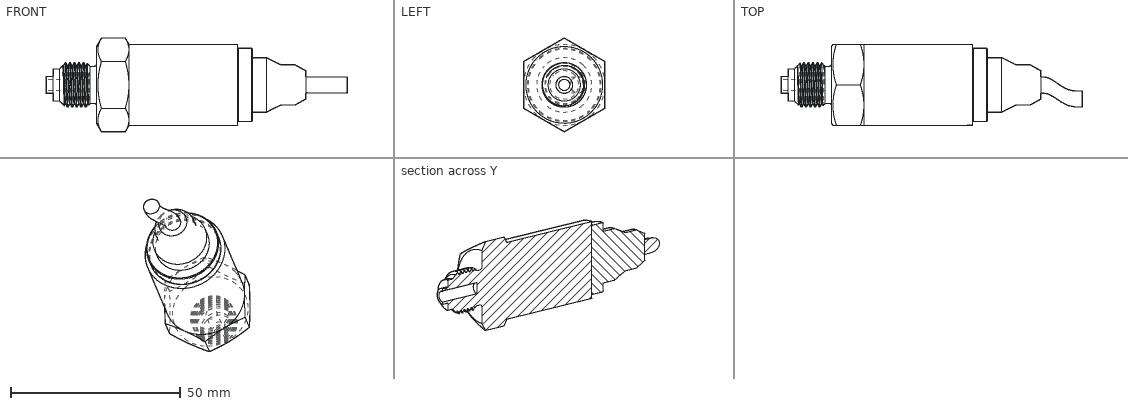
import cadquery as cq
import math


tip_diameter = 5.0
tip_bore_diameter = 3.3
tip_length = 2.05
pilot_diameter = 9.5
pilot_end = 3.9

thread_major_diameter = 13.2
thread_root_diameter = 11.5
thread_pitch = 1.3
thread_crest_width = 0.22
thread_flank_angle = 27.5
thread_end = 13.0
thread_crest_position = 5.7
relief_diameter = 11.0
stem_fillet = 0.6

hex_start = 14.85
hex_end = 24.5
hex_across_flats = 24.0
hex_front_face_diameter = 22.7
hex_chamfer_angle = 30.0
barrel_diameter = hex_across_flats
barrel_end = 56.6

collar_diameter = 21.7
collar_chamfer = 0.3
collar_end = 60.9
shoulder_diameter = 16.2
shoulder_end = 65.1
neck_diameter = 12.0
neck_start = 69.3
neck_end = 73.5
boot_end_diameter = 8.45
boot_end = 76.7
neck_start_fillet = 0.6
neck_end_fillet = 1.0

cable_diameter = 4.8
cable_end = 88.95
cable_offset = 4.2
cable_near_controls = 3
cable_far_controls = 4

bore_depth = thread_end


def revolve_about_x(points):
    """Solid of revolution about X from a closed outline of (x, radius) points."""
    return cq.Workplane("XY").polyline(points).close().revolve(360, (0, 0, 0), (1, 0, 0))


def cylinder_along_x(start, end, diameter):
    return cq.Workplane("YZ", origin=(start, 0, 0)).circle(diameter / 2).extrude(end - start)


def make_stem():
    """Tip and pilot in front of the thread, and the relief between thread and hexagon."""
    tip = cylinder_along_x(0, tip_length, tip_diameter)
    pilot = cylinder_along_x(tip_length, pilot_end, pilot_diameter)
    relief = cylinder_along_x(thread_end, hex_start, relief_diameter)
    return tip.union(pilot).union(make_thread()).union(relief)


def make_thread():
    """Core with a right-hand helical ridge, cut back by 45 degree cones at both ends."""
    root_radius = thread_root_diameter / 2
    major_radius = thread_major_diameter / 2
    overlap = 0.1
    sunk_radius = root_radius - overlap
    crest_half = thread_crest_width / 2
    base_half = crest_half + (major_radius - sunk_radius) * math.tan(math.radians(thread_flank_angle))
    start = thread_crest_position - thread_pitch
    turns = math.ceil((thread_end - start) / thread_pitch)

    path = cq.Wire.makeHelix(thread_pitch, turns * thread_pitch, root_radius)
    ridge = (
        cq.Workplane("XZ")
        .polyline([
            (sunk_radius, -base_half),
            (major_radius, -crest_half),
            (major_radius, crest_half),
            (sunk_radius, base_half),
        ])
        .close()
        .sweep(cq.Workplane(path), isFrenet=True)
        .rotate((0, 0, 0), (0, 0, 1), 180)
        .rotate((0, 0, 0), (0, 1, 0), 90)
        .translate((start, 0, 0))
    )

    pilot_radius = pilot_diameter / 2
    relief_radius = relief_diameter / 2
    outer_radius = major_radius + 0.9
    envelope = revolve_about_x([
        (pilot_end, 0),
        (pilot_end, pilot_radius),
        (pilot_end + outer_radius - pilot_radius, outer_radius),
        (thread_end - (outer_radius - relief_radius), outer_radius),
        (thread_end, relief_radius),
        (thread_end, 0),
    ])
    core = cylinder_along_x(pilot_end - thread_pitch, thread_end + thread_pitch, thread_root_diameter)
    return core.union(ridge).intersect(envelope)


def make_hexagon():
    """Hexagon with corners on +Z and -Z, both ends chamfered by cones."""
    corner_radius = hex_across_flats / 2 / math.cos(math.radians(30))
    prism = (
        cq.Workplane("YZ", origin=(hex_start, 0, 0))
        .polygon(6, 2 * corner_radius)
        .extrude(hex_end - hex_start)
        .rotate((0, 0, 0), (1, 0, 0), 90)
    )
    slope = math.tan(math.radians(hex_chamfer_angle))
    front_radius = hex_front_face_diameter / 2
    back_radius = barrel_diameter / 2
    outer_radius = corner_radius + 0.9
    envelope = revolve_about_x([
        (hex_start, 0),
        (hex_start, front_radius),
        (hex_start + (outer_radius - front_radius) * slope, outer_radius),
        (hex_end - (outer_radius - back_radius) * slope, outer_radius),
        (hex_end, back_radius),
        (hex_end, 0),
    ])
    return prism.intersect(envelope)


def make_housing():
    barrel = cylinder_along_x(hex_end, barrel_end, barrel_diameter)
    housing = make_stem().union(make_hexagon()).union(barrel)
    stem_root = cq.selectors.BoxSelector(
        (hex_start - 0.1, -relief_diameter, -relief_diameter),
        (hex_start + 0.1, relief_diameter, relief_diameter),
        boundingbox=True,
    )
    housing = housing.edges(stem_root).fillet(stem_fillet)
    return housing.cut(cylinder_along_x(0, bore_depth, tip_bore_diameter))


def make_boot():
    collar_radius = collar_diameter / 2
    boot = revolve_about_x([
        (barrel_end, 0),
        (barrel_end, collar_radius - collar_chamfer),
        (barrel_end + collar_chamfer, collar_radius),
        (collar_end - collar_chamfer, collar_radius),
        (collar_end, collar_radius - collar_chamfer),
        (collar_end, shoulder_diameter / 2),
        (shoulder_end, shoulder_diameter / 2),
        (neck_start, neck_diameter / 2),
        (neck_end, neck_diameter / 2),
        (boot_end, boot_end_diameter / 2),
        (boot_end, 0),
    ])

    def edge_at(x):
        return cq.selectors.BoxSelector(
            (x - 0.1, -neck_diameter, -neck_diameter),
            (x + 0.1, neck_diameter, neck_diameter),
            boundingbox=True,
        )

    boot = boot.edges(edge_at(neck_start)).fillet(neck_start_fillet)
    return boot.edges(edge_at(neck_end)).fillet(neck_end_fillet)


def make_cable():
    """Round cable leaving the boot along X and curving smoothly to a parallel line towards -Y."""
    control_count = cable_near_controls + cable_far_controls
    spacing = (cable_end - boot_end) / (control_count - 1)
    controls = [
        (boot_end + i * spacing, 0 if i < cable_near_controls else -cable_offset)
        for i in range(control_count)
    ]
    path = cq.Workplane("XY").bezier(controls)
    return cq.Workplane("YZ", origin=(boot_end, 0, 0)).circle(cable_diameter / 2).sweep(path, normal=(1, 0, 0))


housing = make_housing()
boot = make_boot()
cable = make_cable()

result = cq.Compound.makeCompound([housing.val(), boot.val(), cable.val()])